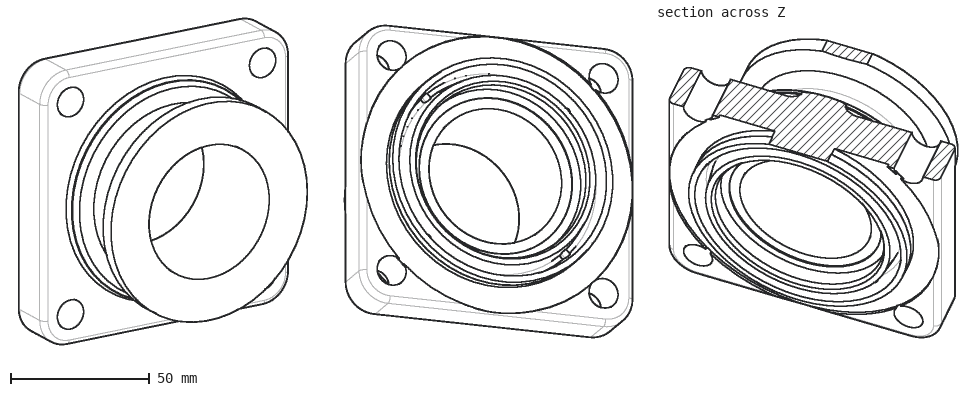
import cadquery as cq
import math

plate_side = 104.8
plate_front = 5.5
plate_back = 23.7
corner_radius = 11.1
plate_edge_radius = 2.2
hole_diameter = 11.1
hole_spacing = 81.2
recess_diameter = 104.0
recess_depth = 1.0

collar_diameter = 84.3
collar_step_diameter = 84.5
collar_step_x = 3.7

hub_root_radius = 42.5
hub_radius = 41.6
hub_end = 28.8
hub_end_radius = 40.0
seam_x = 26.0
seam_width = 0.4
seam_depth = 0.1
neck_radius = 29.3
neck_start = 35.1
neck_end = 40.1
hub_flare_radius = 6.6
rim_flare_radius = 4.5
rim_start = 47.7
rim_radius = 83.1 / 2
rim_end = 53.1

bore_diameter = 50.8
mouth_diameter = 66.8
counterbore_diameter = 65.1
mouth_depth = 1.8
counterbore_depth = 7.3
floor_recess_diameter = 58.7
floor_recess_depth = 0.5

groove_inner_radius = 35.6
groove_outer_radius = 39.8
groove_depth = 9.4
groove_taper = 1.2
groove_corner_x = 8.4
rib_radius = 1.3
rib_axis_depth = 7.3
rib_count = 4


def disc(diameter, start, end):
    """Cylinder along X between two X positions."""
    return cq.Workplane("YZ").workplane(offset=start).circle(diameter / 2).extrude(end - start)


def spin(profile):
    """Revolve a closed profile drawn as (x, radius) about the X axis."""
    return profile.close().revolve(360, (0, 0, 0), (1, 0, 0))


def make_plate():
    plate = cq.Workplane("YZ").workplane(offset=plate_front).rect(plate_side, plate_side)
    plate = plate.extrude(plate_back - plate_front).edges("|X").fillet(corner_radius)
    plate = plate.faces("<X or >X").edges().fillet(plate_edge_radius)
    plate = plate.cut(disc(recess_diameter, plate_front - 1, plate_front + recess_depth))
    holes = (
        cq.Workplane("YZ")
        .rect(hole_spacing, hole_spacing, forConstruction=True)
        .vertices()
        .circle(hole_diameter / 2)
        .extrude(plate_back)
    )
    return plate.cut(holes)


def tangent_radius(length, rise):
    """Radius of an arc that leaves a straight line tangentially and departs by the given rise."""
    return (length**2 + rise**2) / (2 * rise)


def make_spool():
    """Hub, waisted neck and rim in one profile, reaching forward into the plate."""
    overlap_start = (plate_front + plate_back) / 2
    root_fillet_radius = tangent_radius(seam_x - plate_back, hub_root_radius - hub_radius)
    edge_round_start = seam_x + seam_width
    edge_round_radius = tangent_radius(hub_end - edge_round_start, hub_radius - hub_end_radius)
    hub_center_radius = neck_radius + hub_flare_radius
    flare_offset = neck_start - hub_end
    flare_start_radius = hub_center_radius - math.sqrt(hub_flare_radius**2 - flare_offset**2)
    half_angle = math.asin(flare_offset / hub_flare_radius) / 2
    flare_mid = (
        neck_start - hub_flare_radius * math.sin(half_angle),
        hub_center_radius - hub_flare_radius * math.cos(half_angle),
    )

    spool = spin(
        cq.Workplane("XY")
        .moveTo(overlap_start, 0)
        .lineTo(overlap_start, hub_root_radius)
        .lineTo(plate_back, hub_root_radius)
        .radiusArc((seam_x, hub_radius), -root_fillet_radius)
        .lineTo(edge_round_start, hub_radius)
        .radiusArc((hub_end, hub_end_radius), edge_round_radius)
        .lineTo(hub_end, flare_start_radius)
        .threePointArc(flare_mid, (neck_start, neck_radius))
        .lineTo(neck_end, neck_radius)
        .radiusArc((neck_end + rim_flare_radius, neck_radius + rim_flare_radius), -rim_flare_radius)
        .lineTo(rim_start, rim_radius)
        .lineTo(rim_end, rim_radius)
        .lineTo(rim_end, 0)
    )
    seam = disc(2 * hub_root_radius, seam_x, seam_x + seam_width)
    return spool.cut(seam.cut(disc(2 * (hub_radius - seam_depth), seam_x, seam_x + seam_width)))


def make_collar():
    front = disc(collar_diameter, 0, collar_step_x)
    return front.union(disc(collar_step_diameter, collar_step_x, plate_back))


def make_bore():
    mouth = spin(
        cq.Workplane("XY")
        .lineTo(0, mouth_diameter / 2)
        .lineTo(mouth_depth, counterbore_diameter / 2)
        .lineTo(counterbore_depth, counterbore_diameter / 2)
        .lineTo(counterbore_depth, 0)
    )
    floor_recess = disc(floor_recess_diameter, 0, counterbore_depth + floor_recess_depth)
    return mouth.union(floor_recess).union(disc(bore_diameter, 0, rim_end))


def make_groove():
    groove_middle = (groove_inner_radius + groove_outer_radius) / 2
    groove = spin(
        cq.Workplane("XY")
        .moveTo(0, groove_inner_radius)
        .lineTo(groove_corner_x, groove_inner_radius + groove_taper)
        .threePointArc(
            (groove_depth, groove_middle),
            (groove_corner_x, groove_outer_radius - groove_taper),
        )
        .lineTo(0, groove_outer_radius)
    )
    for index in range(rib_count):
        rib = (
            cq.Workplane("XY")
            .center(rib_axis_depth, 0)
            .circle(rib_radius)
            .extrude(groove_outer_radius)
            .union(
                cq.Workplane("XY")
                .center(rib_axis_depth + groove_depth / 2, 0)
                .rect(groove_depth, 2 * rib_radius)
                .extrude(groove_outer_radius)
            )
        )
        groove = groove.cut(rib.rotate((0, 0, 0), (1, 0, 0), 45 + index * 360 / rib_count))
    return groove


result = make_plate().union(make_collar()).union(make_spool())
result = result.cut(make_bore()).cut(make_groove())